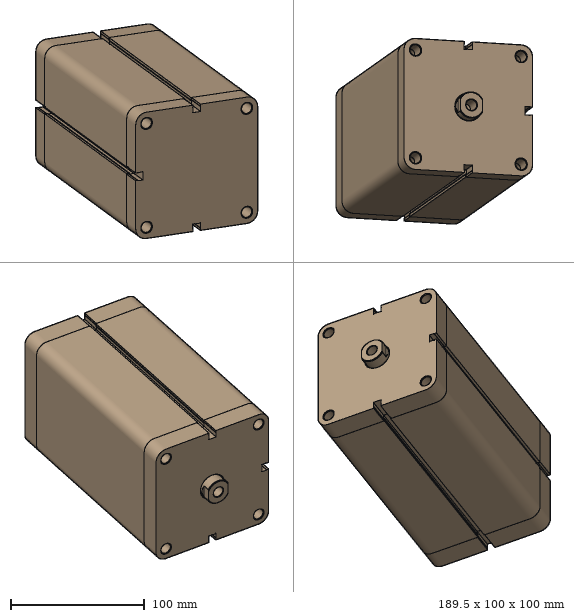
import cadquery as cq
import math

total_length = 189.5
side = 100.0
corner_radius = 9.0

rod_protrusion = 8.3
cap_length = 16.3
tube_length = total_length - rod_protrusion - 2 * cap_length
front_cap_x = rod_protrusion
tube_x = front_cap_x + cap_length
rear_cap_x = tube_x + tube_length

bolt_diameter = 8.3
bolt_chamfer = 0.5
bolt_offset = side / 2 - corner_radius

slot_width = 6.5
slot_depth = 5.9
tube_mouth_width = 5.3
tube_mouth_depth = 2.5
cap_mouth_width = 6.0
cap_mouth_depth = 1.9
slot_angles = (0, 90, 180)

rod_diameter = 20.0
rod_chamfer = 0.5
rod_length = rod_protrusion + cap_length
flat_width = 17.2
flat_length = 6.3
flat_ramp_length = 0.8
thread_diameter = 8.3
thread_chamfer = 0.4
thread_hole_depth = 17.0
drill_tip_angle = 118.0

bore_countersink = 0.5


def block(start_x, length):
    """Square bar along X with rounded edges and four through bolt holes."""
    return (
        cq.Workplane("YZ", origin=(start_x, 0, 0))
        .rect(side, side)
        .extrude(length)
        .edges("|X")
        .fillet(corner_radius)
        .faces("<X")
        .workplane(origin=(start_x, 0, 0))
        .rect(2 * bolt_offset, 2 * bolt_offset, forConstruction=True)
        .vertices()
        .hole(bolt_diameter)
    )


def slot_cutter(start_x, length, mouth_width, mouth_depth):
    """T-shaped bar along X that cuts one slot down from the top face."""
    slot = cq.Workplane("YZ", origin=(start_x, 0, side / 2))
    mouth = slot.rect(mouth_width, 2 * mouth_depth).extrude(length)
    undercut_height = slot_depth - mouth_depth
    undercut_z = -mouth_depth - undercut_height / 2
    undercut = slot.center(0, undercut_z).rect(slot_width, undercut_height).extrude(length)
    return mouth.union(undercut)


def cut_slots(body, cutter):
    """Cut the slot into each slotted side of a body."""
    for angle in slot_angles:
        body = body.cut(cutter.rotate((0, 0, 0), (1, 0, 0), angle))
    return body


def make_cap(start_x, outer_face):
    """End cap with its bolt holes chamfered on the outer face ("<X" or ">X")."""
    smallest_circles = cq.selectors.RadiusNthSelector(0)
    cap = block(start_x, cap_length).faces(outer_face).edges("%CIRCLE").edges(smallest_circles)
    cap = cap.chamfer(bolt_chamfer)
    cutter = slot_cutter(start_x, cap_length, cap_mouth_width, cap_mouth_depth)
    return cut_slots(cap, cutter)


def make_front_cap():
    """Front cap with a countersunk bore that the rod passes through."""
    bore_radius = rod_diameter / 2
    bore = cq.Workplane("YZ", origin=(front_cap_x, 0, 0)).circle(bore_radius).extrude(cap_length)
    countersink = cq.Solid.makeCone(
        bore_radius + bore_countersink,
        bore_radius,
        bore_countersink,
        pnt=cq.Vector(front_cap_x, 0, 0),
        dir=cq.Vector(1, 0, 0),
    )
    return make_cap(front_cap_x, "<X").cut(bore).cut(cq.Workplane(countersink))


def make_tube():
    """Profile tube between the two caps."""
    cutter = slot_cutter(tube_x, tube_length, tube_mouth_width, tube_mouth_depth)
    return cut_slots(block(tube_x, tube_length), cutter)


def side_flat():
    """Cutter for the +Y wrench flat, ending in a ramp up to the full diameter."""
    flat_y = flat_width / 2
    rise = rod_diameter / 2 - flat_y
    return (
        cq.Workplane("XY", origin=(0, 0, -rod_diameter / 2))
        .moveTo(0, flat_y)
        .lineTo(flat_length, flat_y)
        .lineTo(flat_length + flat_ramp_length, flat_y + rise)
        .lineTo(0, flat_y + rise)
        .close()
        .extrude(rod_diameter)
    )


def tapped_hole():
    """Blind hole in the rod tip with a chamfered mouth and a conical drill point."""
    radius = thread_diameter / 2
    tip_length = radius / math.tan(math.radians(drill_tip_angle / 2))
    return (
        cq.Workplane("XY")
        .lineTo(0, radius + thread_chamfer)
        .lineTo(thread_chamfer, radius)
        .lineTo(thread_hole_depth, radius)
        .lineTo(thread_hole_depth + tip_length, 0)
        .close()
        .revolve(360, (0, 0, 0), (1, 0, 0))
    )


def make_rod():
    """Chamfered rod that fills the bore of the front cap and ends at the tube."""
    rod = cq.Workplane("YZ").circle(rod_diameter / 2).extrude(rod_length).faces("<X").chamfer(rod_chamfer)
    flat = side_flat()
    return rod.cut(flat).cut(flat.mirror("XZ")).cut(tapped_hole())


front_cap = make_front_cap()
tube = make_tube()
rear_cap = make_cap(rear_cap_x, ">X")
piston_rod = make_rod()

result = cq.Compound.makeCompound([front_cap.val(), tube.val(), rear_cap.val(), piston_rod.val()])